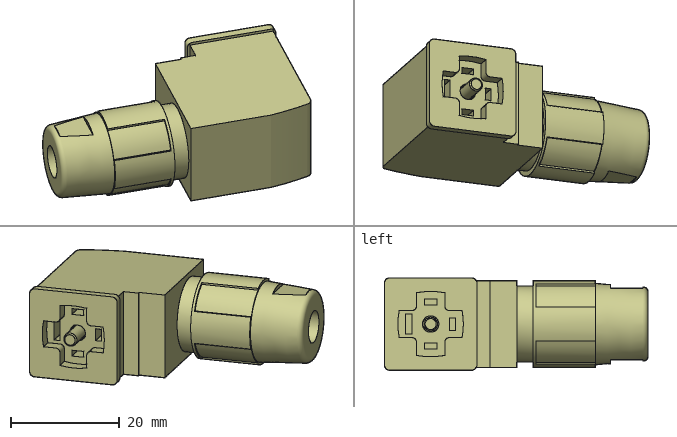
import cadquery as cq


PLATE_SIZE = 17.0
PLATE_THICKNESS = 1.6
PLATE_CORNER_RADIUS = 1.0

BODY_SIZE = 16.0
BODY_RIGHT = 28.1
STEP_X = 5.15
STEP_BOTTOM = -10.9
BACK_CURVE_START = -0.45
BACK_CORNER_X = 26.25
BACK_CURVE_RADIUS = 48.5
BACK_CORNER_RADIUS = 1.4
COLLAR_X = 5.6
COLLAR_BOTTOM = -15.85

SOCKET_SPAN = 12.05
ARM_END_BULGE = 0.25
ARM_WIDTH_Y = 5.2
ARM_WIDTH_Z = 5.0
SOCKET_CORNER_RADIUS = 0.82
SOCKET_DEPTH = 2.5
SLOT_RADIUS = 4.03
SLOT_THICKNESS = 1.1
SLOT_LENGTH = 2.3
EARTH_SLOT_LENGTH = 3.7
SLOT_DEPTH = 4.85
PIN_DIAMETER = 2.5
PIN_CLEARANCE_DIAMETER = 3.0
PIN_CLEARANCE_DEPTH = 0.95
PIN_PROTRUSION = 1.95
PIN_CHAMFER = 0.25

GLAND_X = 19.75
NECK_DIAMETER = 14.0
NUT_DIAMETER = 16.0
NUT_TOP = -18.8
NUT_BOTTOM = -30.25
RECESS_LEDGE = 0.55
RECESS_TOP = NUT_TOP - RECESS_LEDGE
RECESS_DIAMETER = 15.37
RIB_WIDTH = 6.2
CONE_TOP_DIAMETER = 15.05
CONE_END_DIAMETER = 13.55
TOTAL_LENGTH = 48.5
GLAND_END = PLATE_SIZE / 2 - TOTAL_LENGTH
END_FILLET = 0.95
FLAT_TOP = -33.1
FLAT_BOTTOM = GLAND_END + END_FILLET
FLAT_SPACING = 13.2
BORE_DIAMETER = 6.0


def x_cylinder(diameter, x_start, x_end):
    """Cylinder on the pin axis."""
    return cq.Workplane("YZ", origin=(x_start, 0, 0)).circle(diameter / 2).extrude(x_end - x_start)


def gland_cylinder(diameter, y_top, y_bottom):
    """Cylinder on the gland axis, running down in Y."""
    plane = cq.Workplane("XZ", origin=(GLAND_X, y_top, 0))
    return plane.circle(diameter / 2).extrude(y_top - y_bottom)


def make_housing():
    half = BODY_SIZE / 2
    plate = (
        cq.Workplane("YZ")
        .rect(PLATE_SIZE, PLATE_SIZE)
        .extrude(PLATE_THICKNESS)
        .edges("|X")
        .fillet(PLATE_CORNER_RADIUS)
    )
    body = (
        cq.Workplane("XY", origin=(0, 0, -half))
        .moveTo(PLATE_THICKNESS, half)
        .lineTo(PLATE_THICKNESS, -half)
        .lineTo(STEP_X, -half)
        .lineTo(STEP_X, STEP_BOTTOM)
        .lineTo(BODY_RIGHT, STEP_BOTTOM)
        .lineTo(BODY_RIGHT, BACK_CURVE_START)
        .radiusArc((BACK_CORNER_X, half), -BACK_CURVE_RADIUS)
        .close()
        .extrude(BODY_SIZE)
    )
    back_corner = cq.selectors.NearestToPointSelector((BACK_CORNER_X, half, 0))
    body = body.edges(back_corner).fillet(BACK_CORNER_RADIUS)
    collar = cq.Workplane("XY").box(
        BODY_RIGHT - COLLAR_X, STEP_BOTTOM - COLLAR_BOTTOM, BODY_SIZE, centered=(False, False, True)
    )
    collar = collar.translate((COLLAR_X, COLLAR_BOTTOM, 0))
    return plate.union(body).union(collar)


def make_arm_pair(width):
    """Two opposite socket arms along Y with bulged ends."""
    end = SOCKET_SPAN / 2
    corner = end - ARM_END_BULGE
    side = width / 2
    return (
        cq.Workplane("YZ")
        .moveTo(-corner, -side)
        .lineTo(corner, -side)
        .threePointArc((end, 0), (corner, side))
        .lineTo(-corner, side)
        .threePointArc((-end, 0), (-corner, -side))
        .close()
        .extrude(SOCKET_DEPTH)
    )


def make_socket():
    """Cross with bulged arm ends, plus the clearance around the pin."""
    cross = make_arm_pair(ARM_WIDTH_Z)
    cross = cross.union(make_arm_pair(ARM_WIDTH_Y).rotate((0, 0, 0), (1, 0, 0), 90))
    inner_corners = cq.selectors.BoxSelector(
        (0, -ARM_WIDTH_Y, -ARM_WIDTH_Z), (SOCKET_DEPTH, ARM_WIDTH_Y, ARM_WIDTH_Z)
    )
    cross = cross.edges("|X").edges(inner_corners).fillet(SOCKET_CORNER_RADIUS)
    return cross.union(x_cylinder(PIN_CLEARANCE_DIAMETER, 0, SOCKET_DEPTH + PIN_CLEARANCE_DEPTH))


def make_contact_slots():
    """Four slots around the pin; the one at +Y is the longer earth slot."""
    slots = cq.Workplane("YZ")
    for angle in (0, 90, 180, 270):
        length = EARTH_SLOT_LENGTH if angle == 0 else SLOT_LENGTH
        slot = (
            cq.Workplane("YZ", origin=(SOCKET_DEPTH, 0, 0))
            .center(SLOT_RADIUS, 0)
            .rect(SLOT_THICKNESS, length)
            .extrude(SLOT_DEPTH)
            .rotate((0, 0, 0), (1, 0, 0), angle)
        )
        slots = slots.add(slot)
    return slots.combine()


def make_pin():
    pin = x_cylinder(PIN_DIAMETER, -PIN_PROTRUSION, SOCKET_DEPTH + PIN_CLEARANCE_DEPTH)
    return pin.faces("<X").chamfer(PIN_CHAMFER)


def make_nut():
    """Nut with four ribs left standing between recesses that open at its lower end."""
    recess = gland_cylinder(NUT_DIAMETER, RECESS_TOP, NUT_BOTTOM)
    recess = recess.cut(gland_cylinder(RECESS_DIAMETER, RECESS_TOP, NUT_BOTTOM))
    for width_x, width_z in ((RIB_WIDTH, NUT_DIAMETER), (NUT_DIAMETER, RIB_WIDTH)):
        rib = cq.Workplane("XZ", origin=(GLAND_X, RECESS_TOP, 0)).rect(width_x, width_z)
        recess = recess.cut(rib.extrude(RECESS_TOP - NUT_BOTTOM))
    return gland_cylinder(NUT_DIAMETER, NUT_TOP, NUT_BOTTOM).cut(recess)


def make_cone():
    """Tapered gland end with a rounded rim and two wrench flats."""
    cone = (
        cq.Workplane("XZ", origin=(GLAND_X, NUT_BOTTOM, 0))
        .circle(CONE_TOP_DIAMETER / 2)
        .workplane(offset=NUT_BOTTOM - GLAND_END)
        .circle(CONE_END_DIAMETER / 2)
        .loft()
        .faces("<Y")
        .edges()
        .fillet(END_FILLET)
    )
    for side in (1, -1):
        flat = cq.Workplane("XY").box(CONE_TOP_DIAMETER, FLAT_TOP - FLAT_BOTTOM, CONE_TOP_DIAMETER)
        centre_z = side * (FLAT_SPACING + CONE_TOP_DIAMETER) / 2
        cone = cone.cut(flat.translate((GLAND_X, (FLAT_TOP + FLAT_BOTTOM) / 2, centre_z)))
    return cone


housing = make_housing().cut(make_socket()).cut(make_contact_slots()).union(make_pin())
gland = gland_cylinder(NECK_DIAMETER, COLLAR_BOTTOM, NUT_TOP).union(make_nut()).union(make_cone())
bore = gland_cylinder(BORE_DIAMETER, NUT_TOP, GLAND_END)
result = housing.union(gland).cut(bore)